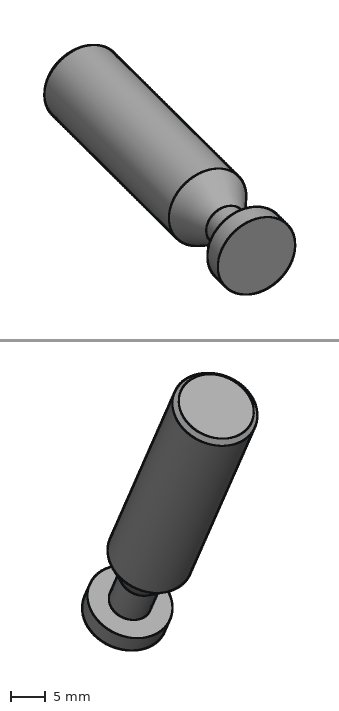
import cadquery as cq
import math

length = 54.0
body_diameter = 12.7
neck_diameter = body_diameter / 2
chamfer = 0.75
head_thickness = 3.25
neck_length = 6.25
taper_angle = 30.0

body_radius = body_diameter / 2
neck_radius = neck_diameter / 2
taper_length = (body_radius - neck_radius) / math.tan(math.radians(taper_angle))

head_start = length - head_thickness
neck_start = head_start - neck_length
taper_start = neck_start - taper_length

half_section = (
    cq.Workplane("XZ")
    .moveTo(0, 0)
    .lineTo(0, body_radius - chamfer)
    .lineTo(chamfer, body_radius)
    .lineTo(taper_start, body_radius)
    .lineTo(neck_start, neck_radius)
    .lineTo(head_start, neck_radius)
    .lineTo(head_start, body_radius)
    .lineTo(length, body_radius)
    .lineTo(length, 0)
    .close()
)

result = half_section.revolve(360, (0, 0, 0), (1, 0, 0))